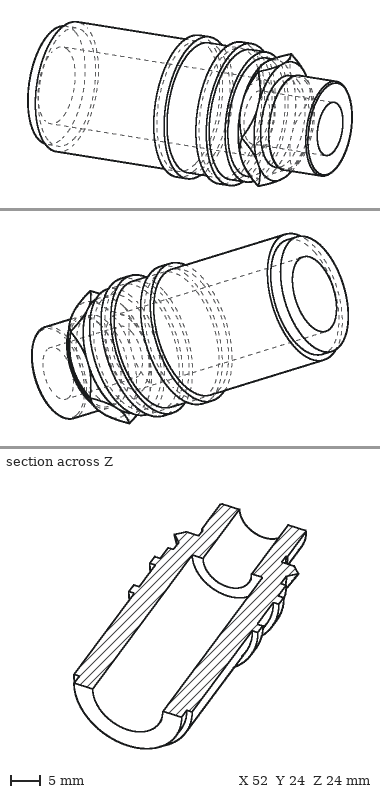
import cadquery as cq
import math

LENGTH = 52.0

LIP_LENGTH = 2.0
LIP_DIA = 20.0
SLEEVE_END = 38.0
SLEEVE_DIA = 22.0

RING_STARTS = (25.0, 33.0)
RING_WIDTH = 2.0
RING_DIA = 24.0

NUT_START = 40.0
NUT_WIDTH = 3.0
NUT_END = NUT_START + NUT_WIDTH
NUT_ACROSS_FLATS = LIP_DIA
NUT_CORNER_RADIUS = NUT_ACROSS_FLATS / math.sqrt(3)
NUT_BEVEL_ANGLE = 45.0
COLLAR_DIA = LIP_DIA

SHOULDER_START = 44.55
SPIGOT_DIA = 16.0
TIP_BEVEL = 0.25
SHOULDER_BEVEL_LENGTH = 0.13
NECK_DIA = SPIGOT_DIA - 2 * TIP_BEVEL

SOCKET_DIA = 13.0
SOCKET_DEPTH = SLEEVE_END
BORE_DIA = 9.0


def cylinder(start, end, diameter):
    """Solid cylinder on the X axis between two X positions."""
    return cq.Workplane("YZ", origin=(start, 0, 0)).circle(diameter / 2).extrude(end - start)


def revolved(profile):
    """Solid turned about the X axis from (x, radius) points that start and end on it."""
    return cq.Workplane("XY").polyline(profile).close().revolve(360, (0, 0, 0), (1, 0, 0))


def hex_nut():
    """Hexagon with corners on +-Y, bevelled from both faces to meet at mid width."""
    hexagon = (
        cq.Workplane("YZ", origin=(NUT_START, 0, 0))
        .polygon(6, 2 * NUT_CORNER_RADIUS)
        .extrude(NUT_WIDTH)
    )
    half_width = NUT_WIDTH / 2
    face_radius = NUT_CORNER_RADIUS - half_width * math.tan(math.radians(NUT_BEVEL_ANGLE))
    double_cone = revolved([
        (NUT_START, 0),
        (NUT_START, face_radius),
        (NUT_START + half_width, NUT_CORNER_RADIUS),
        (NUT_END, face_radius),
        (NUT_END, 0),
    ])
    return hexagon.intersect(double_cone)


def spigot():
    """Neck behind the nut, widening over a steep shoulder to the plain end with its bevelled tip."""
    return revolved([
        (NUT_END, 0),
        (NUT_END, NECK_DIA / 2),
        (SHOULDER_START, NECK_DIA / 2),
        (SHOULDER_START + SHOULDER_BEVEL_LENGTH, SPIGOT_DIA / 2),
        (LENGTH - TIP_BEVEL, SPIGOT_DIA / 2),
        (LENGTH, SPIGOT_DIA / 2 - TIP_BEVEL),
        (LENGTH, 0),
    ])


body = cylinder(0, LIP_LENGTH, LIP_DIA)
body = body.union(cylinder(LIP_LENGTH, SLEEVE_END, SLEEVE_DIA))
body = body.union(cylinder(SLEEVE_END, NUT_START, COLLAR_DIA))
for ring_start in RING_STARTS:
    body = body.union(cylinder(ring_start, ring_start + RING_WIDTH, RING_DIA))
body = body.union(hex_nut())
body = body.union(spigot())

body = body.cut(cylinder(0, LENGTH, BORE_DIA))
result = body.cut(cylinder(0, SOCKET_DEPTH, SOCKET_DIA))